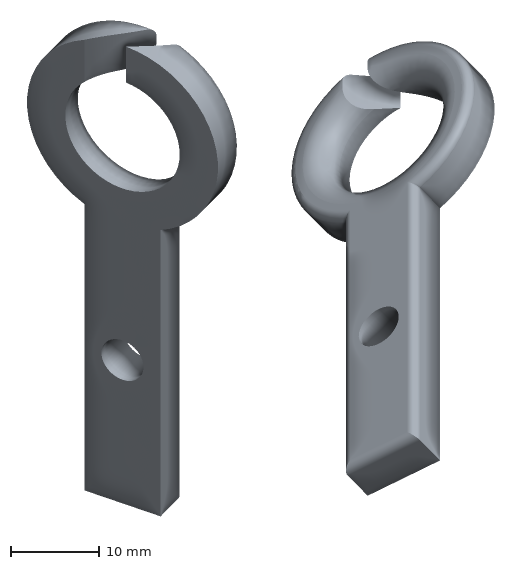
import cadquery as cq

total_height = 63.95
thickness = 5.0
ring_diameter = 25.0
bore_diameter = 14.95
stem_width = 10.0
stem_hole_diameter = 5.5
stem_hole_height = 20.0
outer_fillet = 1.0
bore_fillet = 3.0

gap_left_front = -stem_width / 2
gap_right_front = 0.45
gap_left_back = 1.55
gap_right_back = stem_width / 2
gap_middle_depth = 1.9
gap_left_middle = -1.35
gap_right_middle = 2.7

ring_height = total_height - ring_diameter / 2


def cylinder_along_y(diameter, height):
    """Cylinder through the full thickness, centred at the given height."""
    profile = cq.Workplane("XZ").center(0, height).circle(diameter / 2)
    return profile.extrude(-thickness)


def make_blank():
    """Ring disc and stem, rounded along the outer edge of the back face."""
    stem = cq.Workplane("XY").box(stem_width, thickness, ring_height, centered=(True, False, False))
    blank = stem.union(cylinder_along_y(ring_diameter, ring_height))
    return blank.faces(">Y").edges().fillet(outer_fillet)


def make_bore():
    """Ring bore with a rounded flare that opens at the back face."""
    bore_radius = bore_diameter / 2
    flare_start = thickness - bore_fillet
    flare_radius = bore_radius + bore_fillet
    arc_offset = bore_fillet / 2**0.5
    return (
        cq.Workplane("XY", origin=(0, 0, ring_height))
        .lineTo(bore_radius, 0)
        .lineTo(bore_radius, flare_start)
        .threePointArc(
            (flare_radius - arc_offset, flare_start + arc_offset),
            (flare_radius, thickness),
        )
        .lineTo(0, thickness)
        .close()
        .revolve(360, (0, 0, 0), (0, 1, 0))
    )


def make_gap():
    """Slanting gap with two curved walls, running from the bore up through the ring."""
    return (
        cq.Workplane("XY", origin=(0, 0, ring_height))
        .moveTo(gap_left_front, 0)
        .threePointArc((gap_left_middle, gap_middle_depth), (gap_left_back, thickness))
        .lineTo(gap_right_back, thickness)
        .threePointArc((gap_right_middle, gap_middle_depth), (gap_right_front, 0))
        .close()
        .extrude(ring_diameter / 2)
    )


result = (
    make_blank()
    .cut(make_bore())
    .cut(make_gap())
    .cut(cylinder_along_y(stem_hole_diameter, stem_hole_height))
)